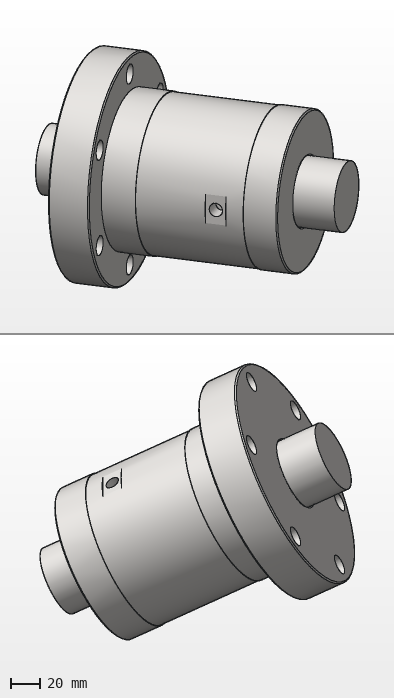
import cadquery as cq

shaft_diameter = 50.0
shaft_length = 219.0
shaft_overhang = 30.0

nut_start = shaft_overhang
nut_end = shaft_length - shaft_overhang
flange_diameter = 165.0
flange_thickness = 30.0
collar_diameter = 115.0
collar_length = 25.0
barrel_diameter = 114.0
edge_chamfer = 1.0
bore_chamfer = 1.0

bolt_count = 6
bolt_hole_diameter = 14.0
bolt_circle_diameter = 140.0

seat_center_x = 143.5
seat_length = 15.0
seat_depth = 1.0
port_mouth_diameter = 9.7
port_bottom_diameter = 8.5
port_depth = 12.0

flange_end = nut_start + flange_thickness
seat_offset = barrel_diameter / 2 - seat_depth


def cylinder_x(diameter, start, end):
    """Solid cylinder on the X axis between two X positions."""
    return cq.Workplane("YZ").workplane(offset=start).circle(diameter / 2).extrude(end - start)


def make_shaft():
    return cylinder_x(shaft_diameter, 0, shaft_length)


def make_nut_blank():
    flange = cylinder_x(flange_diameter, nut_start, flange_end).edges().chamfer(edge_chamfer)
    front_collar = cylinder_x(collar_diameter, flange_end, flange_end + collar_length)
    barrel = cylinder_x(barrel_diameter, flange_end, nut_end - collar_length)
    rear_collar = cylinder_x(collar_diameter, nut_end - collar_length, nut_end)
    rear_collar = rear_collar.faces(">X").edges().chamfer(edge_chamfer)
    return flange.union(front_collar).union(barrel).union(rear_collar)


def make_bore():
    """Bore for the shaft, chamfered at both mouths."""
    bore = cylinder_x(shaft_diameter, nut_start, nut_end)
    mouth_radius = shaft_diameter / 2 + bore_chamfer
    for mouth_x, inward in ((nut_start, 1), (nut_end, -1)):
        cone = cq.Solid.makeCone(
            mouth_radius,
            shaft_diameter / 2,
            bore_chamfer,
            pnt=cq.Vector(mouth_x, 0, 0),
            dir=cq.Vector(inward, 0, 0),
        )
        bore = bore.union(cq.Workplane(cone))
    return bore


def make_bolt_holes():
    return (
        cq.Workplane("YZ")
        .workplane(offset=nut_start)
        .polarArray(bolt_circle_diameter / 2, 90, 360, bolt_count)
        .circle(bolt_hole_diameter / 2)
        .extrude(flange_thickness)
    )


def make_port():
    """Cutter for the flat seat and tapered hole on the -Y side."""
    seat_plane = cq.Workplane("XZ", origin=(seat_center_x, -seat_offset, 0))
    seat = seat_plane.rect(seat_length, barrel_diameter).extrude(seat_depth)
    hole = cq.Solid.makeCone(
        port_mouth_diameter / 2,
        port_bottom_diameter / 2,
        port_depth,
        pnt=cq.Vector(seat_center_x, -seat_offset, 0),
        dir=cq.Vector(0, 1, 0),
    )
    return seat.union(cq.Workplane(hole))


def make_nut():
    port = make_port()
    nut = make_nut_blank().cut(make_bore()).cut(make_bolt_holes())
    return nut.cut(port).cut(port.mirror("XZ"))


shaft = make_shaft()
nut = make_nut()
result = cq.Compound.makeCompound([nut.val(), shaft.val()])